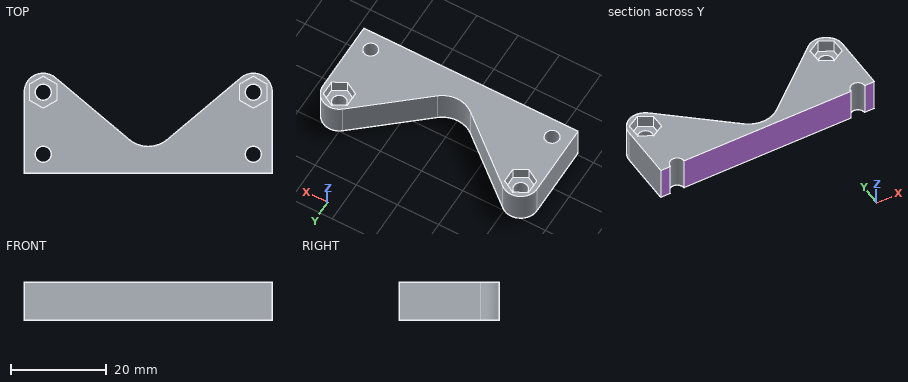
import cadquery as cq
import math

length = 52.0
depth = 21.0
thickness = 8.0

corner_radius = 4.0

notch_radius = 6.25
notch_floor_y = 5.67

hole_diameter = 3.3
nut_across_flats = 5.8
nut_pocket_depth = 3.0

hole_x = length / 2 - corner_radius
rear_hole_y = depth - corner_radius
front_hole_y = 4.0
notch_center_y = notch_floor_y + notch_radius


def flank_angle():
    """Slope of the straight flank tangent to both the corner and the notch arc."""
    rise = rear_hole_y - notch_center_y
    center_distance = math.hypot(hole_x, rise)
    return math.atan2(rise, hole_x) + math.asin((corner_radius + notch_radius) / center_distance)


def plate():
    """Flat plate with rounded back corners and a V notch with a round floor."""
    slope = flank_angle()
    corner_tangent_x = hole_x - corner_radius * math.sin(slope)
    corner_tangent_y = rear_hole_y + corner_radius * math.cos(slope)
    notch_tangent_x = notch_radius * math.sin(slope)
    notch_tangent_y = notch_center_y - notch_radius * math.cos(slope)
    return (
        cq.Workplane("XY")
        .moveTo(-length / 2, 0)
        .lineTo(length / 2, 0)
        .lineTo(length / 2, rear_hole_y)
        .threePointArc((hole_x, depth), (corner_tangent_x, corner_tangent_y))
        .lineTo(notch_tangent_x, notch_tangent_y)
        .threePointArc((0, notch_floor_y), (-notch_tangent_x, notch_tangent_y))
        .lineTo(-corner_tangent_x, corner_tangent_y)
        .threePointArc((-hole_x, depth), (-length / 2, rear_hole_y))
        .close()
        .extrude(thickness)
    )


def screw_holes():
    """Four through holes, two near the front edge and two in the back corners."""
    centers = [(x, y) for x in (-hole_x, hole_x) for y in (front_hole_y, rear_hole_y)]
    return cq.Workplane("XY").pushPoints(centers).circle(hole_diameter / 2).extrude(thickness)


def nut_pockets():
    """Hexagonal pockets open at the top, with points facing front and back."""
    across_corners = nut_across_flats / math.cos(math.pi / 6)
    quarter_turn = 90
    pocket = (
        cq.Workplane("XY")
        .polygon(6, across_corners)
        .extrude(nut_pocket_depth)
        .rotate((0, 0, 0), (0, 0, 1), quarter_turn)
    )
    pocket_floor_z = thickness - nut_pocket_depth
    left = pocket.translate((-hole_x, rear_hole_y, pocket_floor_z))
    right = pocket.translate((hole_x, rear_hole_y, pocket_floor_z))
    return left.add(right).combine()


result = plate().cut(screw_holes()).cut(nut_pockets())